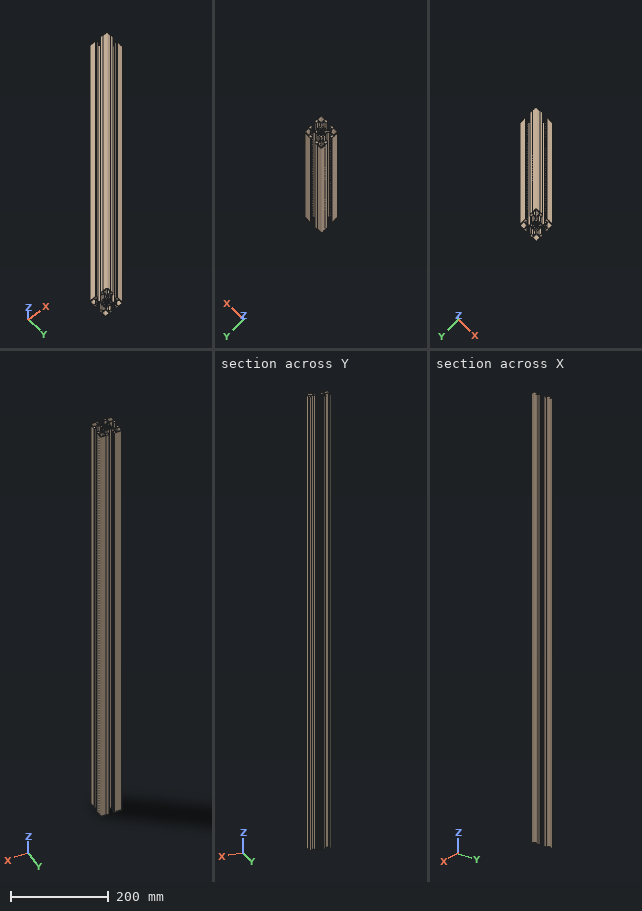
import cadquery as cq

LENGTH = 1000.0
WIDTH = 50.0
HALF = WIDTH / 2
CORNER_RADIUS = 3.0
SIDES = 4

SLOT_WIDTH = 10.0
MOUTH_CHAMFER = 1.5
LIP_THICKNESS = 5.6
CAVITY_WIDTH = 22.0
CAVITY_DEPTH = 12.0
FLOOR_WIDTH = 15.0
FLOOR_FROM_AXIS = 9.4

RIB_WIDTH = 6.0
RIB_HEIGHT = 0.6

BORE_RADIUS = 4.2
SCALLOP_COUNT = 8
SCALLOP_RADIUS = 2.0
SCALLOP_CENTRE_RADIUS = 6.0

CORNER_WALL = 1.5
POCKET_INNER = CAVITY_WIDTH / 2 + CORNER_WALL
POCKET_OUTER = HALF - CORNER_WALL
POCKET_SIZE = POCKET_OUTER - POCKET_INNER
POCKET_CENTRE = (POCKET_INNER + POCKET_OUTER) / 2
POCKET_RADIUS = 0.5


def slot_cutter():
    """Space of one T-slot, opening on the +Y side."""
    lip_bottom = HALF - LIP_THICKNESS
    rib_top = FLOOR_FROM_AXIS + RIB_HEIGHT
    right_half = [
        (SLOT_WIDTH / 2 + MOUTH_CHAMFER, HALF),
        (SLOT_WIDTH / 2, HALF - MOUTH_CHAMFER),
        (SLOT_WIDTH / 2, lip_bottom),
        (CAVITY_WIDTH / 2, lip_bottom),
        (CAVITY_WIDTH / 2, HALF - CAVITY_DEPTH),
        (FLOOR_WIDTH / 2, FLOOR_FROM_AXIS),
        (RIB_WIDTH / 2, FLOOR_FROM_AXIS),
        (RIB_WIDTH / 2, rib_top),
    ]
    left_half = [(-x, y) for x, y in reversed(right_half)]
    return cq.Workplane("XY").polyline(right_half + left_half).close().extrude(LENGTH)


def bore_cutter():
    """Round bore ringed by evenly spaced scallops."""
    bore = cq.Workplane("XY").circle(BORE_RADIUS).extrude(LENGTH)
    scallops = (
        cq.Workplane("XY")
        .polarArray(SCALLOP_CENTRE_RADIUS, 0, 360, SCALLOP_COUNT)
        .circle(SCALLOP_RADIUS)
        .extrude(LENGTH)
    )
    return bore.union(scallops)


def pocket_cutter():
    """Corner hollow in the +X +Y quarter."""
    return (
        cq.Workplane("XY")
        .center(POCKET_CENTRE, POCKET_CENTRE)
        .rect(POCKET_SIZE, POCKET_SIZE)
        .extrude(LENGTH)
        .edges("|Z")
        .fillet(POCKET_RADIUS)
    )


bar = cq.Workplane("XY").rect(WIDTH, WIDTH).extrude(LENGTH)
bar = bar.edges("|Z").fillet(CORNER_RADIUS)
bar = bar.cut(bore_cutter())

for side in range(SIDES):
    angle = side * 360 / SIDES
    for cutter in (slot_cutter(), pocket_cutter()):
        bar = bar.cut(cutter.rotate((0, 0, 0), (0, 0, 1), angle))

result = bar